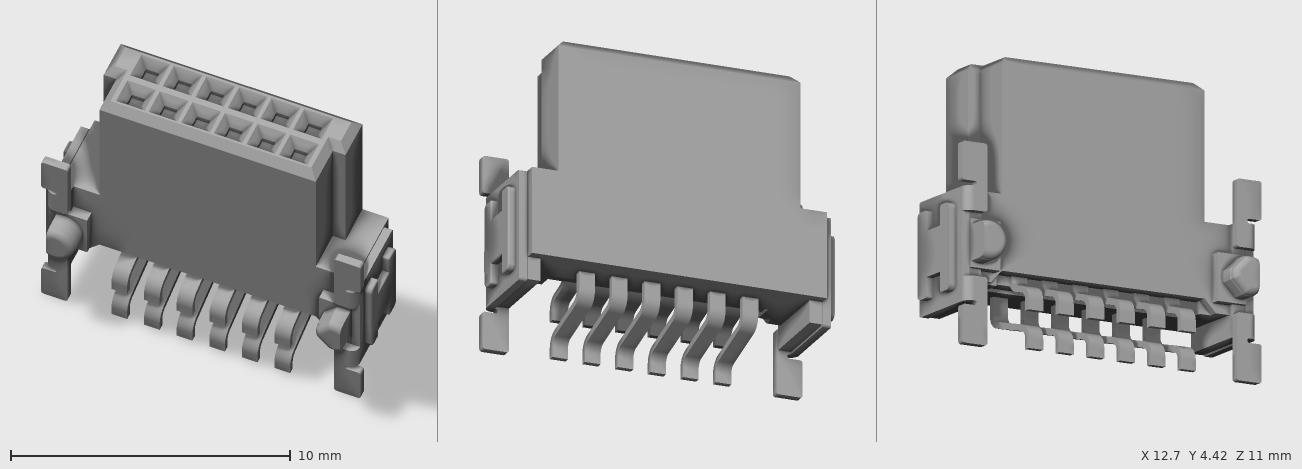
import cadquery as cq
import math


OVERLAP = 0.06

contact_count = 6
pitch = 1.27
contact_xs = [(i - (contact_count - 1) / 2) * pitch for i in range(contact_count)]

housing_depth = 3.09
base_half_width = 5.71
base_height = 3.3
tower_top = 8.43
tower_half_width = 4.7
tower_front_half_width = 4.2
tower_step_y = 1.55
tower_chamfer = 0.3
corner_block_inner_x = 5.22
corner_block_depth = 0.23
corner_block_back_y = 2.68
corner_block_bottom = -0.86

socket_mouth = (1.11, 1.03)
socket_throat = (0.52, 0.45)
socket_funnel_depth = 0.34
socket_throat_depth = 0.19
socket_row_ys = (0.9, 2.18)

recess_height = 0.48
recess_flare = 0.47
recess_flare_depth = 0.38
recess_depth = 0.66
inner_recess_height = 0.13
inner_recess_depth = 1.27

peg_x = 5.4
peg_z = 1.25
peg_radius = 0.73
peg_reach = 1.33
peg_band_start = 0.97
peg_band_end = 1.05
peg_band_inset = 0.03
peg_tip_fillet = 0.25
peg_flat_distance = 0.65
pad_inner_x = 4.51
pad_height = 1.8
pad_reach = 0.4

clip_thickness = 0.32
clip_gap = 0.03
clip_inner_x = base_half_width + clip_gap
clip_mid_z = 1.19
plate_half_height = 2.11
plate_back_y = corner_block_back_y
plate_corner_radius = 0.1
tab_back_y = -0.3
tab_half_height = 3.71
tab_inner_x = 5.18
tab_outer_x = 6.2
tab_corner_radius = 0.1
bend_half_gap = 1.2
slot_width = 0.16
slot_end_x = 5.61

boss_outer_x = 6.33
boss_back_y = 2.35
boss_front_y = 0.13
boss_half_height = 1.61
boss_notch_back_y = 1.72
boss_notch_front_y = 0.75
boss_notch_depth = 0.76
boss_outer_radius = 0.22
boss_inner_radius = 0.08
boss_edge_fillet = 0.06

tail_width = 0.61
tail_thickness = 0.24
tail_slope = 14.5
tail_front_y = -0.62
foot_height = 0.39
bend_outer_radius = 0.58
bend_inner_radius = bend_outer_radius - tail_thickness
front_foot_z = -0.97
foot_drop = 1.42
front_pin_y = 0.53
rear_pin_y = 1.86
pin_top = recess_height + OVERLAP


def box(x0, x1, y0, y1, z0, z1):
    return cq.Workplane("XY").box(x1 - x0, y1 - y0, z1 - z0, centered=False).translate((x0, y0, z0))


def mirror_x(shape):
    return shape.mirror("YZ")


def make_tower():
    outline = [
        (-tower_half_width, housing_depth),
        (-tower_half_width, tower_step_y),
        (-tower_front_half_width, tower_step_y),
        (-tower_front_half_width, 0),
        (tower_front_half_width, 0),
        (tower_front_half_width, tower_step_y),
        (tower_half_width, tower_step_y),
        (tower_half_width, housing_depth),
    ]
    tower = cq.Workplane("XY").polyline(outline).close().extrude(tower_top)
    return tower.faces(">Z").chamfer(tower_chamfer)


def make_base():
    base = box(-base_half_width, base_half_width, 0, housing_depth, 0, base_height)
    corner = box(corner_block_inner_x, base_half_width, -corner_block_depth, corner_block_back_y,
                 corner_block_bottom, base_height)
    return base.union(corner).union(mirror_x(corner))


def make_socket(x, y):
    funnel = (
        cq.Workplane("XY", origin=(x, y, tower_top))
        .rect(*socket_mouth)
        .workplane(offset=-socket_funnel_depth)
        .rect(*socket_throat)
        .loft(ruled=True)
    )
    throat = (
        cq.Workplane("XY", origin=(x, y, tower_top - socket_funnel_depth))
        .rect(*socket_throat)
        .extrude(-socket_throat_depth)
    )
    return funnel.union(throat)


def make_recess():
    half_width = tower_front_half_width
    flared = (
        cq.Workplane("XZ")
        .polyline([
            (-half_width - recess_flare, 0),
            (-half_width, recess_height),
            (half_width, recess_height),
            (half_width + recess_flare, 0),
        ])
        .close()
        .extrude(-recess_flare_depth)
    )
    straight = box(-half_width, half_width, 0, recess_depth, 0, recess_height)
    inner = box(-half_width, half_width, 0, inner_recess_depth, 0, inner_recess_height)
    return flared.union(straight).union(inner)


def wedge(plane, flat_distance):
    """Right-angled triangle pointing to -X, its two short sides at the given distance from the axis."""
    reach = flat_distance * math.sqrt(2)
    return plane.polyline([(-reach, 0), (reach, 2 * reach), (reach, -2 * reach)]).close()


def make_peg(keyed):
    """Peg on the +X side; the keyed one has two slanted flats toward the middle."""
    band_length = peg_band_end - peg_band_start
    start = cq.Workplane("XZ", origin=(peg_x, 0, peg_z))
    band = start.workplane(offset=peg_band_start)
    end = start.workplane(offset=peg_band_end)
    tip_length = peg_reach - peg_band_end
    taper = math.degrees(math.atan2(peg_band_inset, band_length))

    tip_radius = peg_radius - peg_band_inset
    peg = start.circle(peg_radius).extrude(peg_band_start)
    cone = band.circle(peg_radius).extrude(band_length, taper=taper)
    tip = end.circle(tip_radius).extrude(tip_length)
    if keyed:
        peg = peg.intersect(wedge(start, peg_flat_distance).extrude(peg_band_start))
        cone = cone.intersect(wedge(band, peg_flat_distance).extrude(band_length, taper=taper))
        tip = tip.intersect(wedge(end, peg_flat_distance - peg_band_inset).extrude(tip_length))
    tip = tip.faces("<Y").edges().fillet(peg_tip_fillet)
    peg = peg.union(cone).union(tip)

    outside = box(base_half_width, base_half_width + peg_radius, -peg_reach, 0, 0, base_height)
    pad_z = peg_z - pad_height / 2
    pad = box(pad_inner_x, base_half_width, -pad_reach, OVERLAP, pad_z, pad_z + pad_height)
    return peg.cut(outside).union(pad)


def make_upper_tab():
    """Soldering tab above mid height with the quarter-round bend that joins it to the plate."""
    slot_bottom = clip_mid_z + plate_half_height
    slot_top = slot_bottom + slot_width
    slot_radius = slot_width / 2
    bend_x = clip_inner_x
    bend_bottom = clip_mid_z + bend_half_gap
    tab_top = clip_mid_z + tab_half_height
    tab = (
        cq.Workplane("XZ", origin=(0, tab_back_y, 0))
        .moveTo(tab_inner_x, bend_bottom)
        .lineTo(tab_inner_x, tab_top)
        .lineTo(tab_outer_x, tab_top)
        .lineTo(tab_outer_x, slot_top)
        .lineTo(slot_end_x + slot_radius, slot_top)
        .threePointArc((slot_end_x, slot_bottom + slot_radius), (slot_end_x + slot_radius, slot_bottom))
        .lineTo(bend_x, slot_bottom)
        .lineTo(bend_x, bend_bottom)
        .close()
        .extrude(clip_thickness)
    )
    corners = [
        (tab_inner_x, bend_bottom),
        (tab_inner_x, tab_top),
        (tab_outer_x, tab_top),
        (tab_outer_x, slot_top),
    ]
    for x, z in corners:
        corner = cq.selectors.NearestToPointSelector((x, tab_back_y - clip_thickness / 2, z))
        tab = tab.edges("|Y").edges(corner).fillet(tab_corner_radius)
    diagonal = clip_thickness / math.sqrt(2)
    bend = (
        cq.Workplane("XY", origin=(bend_x, tab_back_y, bend_bottom))
        .lineTo(clip_thickness, 0)
        .threePointArc((diagonal, -diagonal), (0, -clip_thickness))
        .close()
        .extrude(slot_bottom - bend_bottom)
    )
    return tab.union(bend)


def make_boss():
    height = boss_outer_x - base_half_width
    outline_width = boss_back_y - boss_front_y
    mid_y = (boss_back_y + boss_front_y) / 2
    boss = (
        cq.Workplane("YZ", origin=(base_half_width, mid_y, clip_mid_z))
        .rect(outline_width, 2 * boss_half_height)
        .extrude(height)
        .edges("|X")
        .fillet(boss_outer_radius)
    )
    for side in (-1, 1):
        floor_z = clip_mid_z + side * (boss_half_height - boss_notch_depth)
        rim_z = clip_mid_z + side * boss_half_height
        notch = box(
            base_half_width, boss_outer_x,
            boss_notch_front_y, boss_notch_back_y,
            min(floor_z, rim_z), max(floor_z, rim_z),
        )
        boss = boss.cut(notch)
        for y in (boss_notch_front_y, boss_notch_back_y):
            rim = cq.selectors.NearestToPointSelector((base_half_width + height / 2, y, rim_z))
            boss = boss.edges("|X").edges(rim).fillet(boss_inner_radius)
    return boss


def make_clip(rounded_boss):
    """Clip on the +X side: side plate, H-shaped boss and two soldering tabs."""
    plate = box(
        clip_inner_x, clip_inner_x + clip_thickness,
        tab_back_y, plate_back_y,
        clip_mid_z - plate_half_height, clip_mid_z + plate_half_height,
    )
    plate = plate.edges("|X and >Y").fillet(plate_corner_radius)
    boss = make_boss()
    if rounded_boss:
        boss = boss.faces(">X").edges().fillet(boss_edge_fillet)
    upper_tab = make_upper_tab()
    lower_tab = upper_tab.mirror("XY", (0, 0, clip_mid_z))
    return plate.union(boss).union(upper_tab).union(lower_tab)


def make_tail(x, pin_y, foot_z):
    """Bent strip: upright foot, convex bend, slope, concave bend, upright pin."""
    slope = math.radians(tail_slope)
    outer = bend_outer_radius
    inner = bend_inner_radius

    def around(center, radius, angle):
        return (center[0] + radius * math.cos(angle), center[1] + radius * math.sin(angle))

    front_center = (tail_front_y + outer, foot_z + foot_height)
    convex_start = math.pi
    convex_end = math.pi / 2 + slope
    convex_mid = (convex_start + convex_end) / 2
    concave_start = slope - math.pi / 2
    concave_end = 0
    concave_mid = (concave_start + concave_end) / 2

    slope_start = around(front_center, outer, convex_end)
    rear_center_y = pin_y - inner
    slope_end_y = around((rear_center_y, 0), inner, concave_start)[0]
    slope_end_z = slope_start[1] + (slope_end_y - slope_start[0]) * math.tan(slope)
    rear_center = (rear_center_y, slope_end_z + inner * math.cos(slope))

    return (
        cq.Workplane("YZ", origin=(x - tail_width / 2, 0, 0))
        .moveTo(tail_front_y, foot_z)
        .lineTo(*around(front_center, outer, convex_start))
        .threePointArc(around(front_center, outer, convex_mid), slope_start)
        .lineTo(slope_end_y, slope_end_z)
        .threePointArc(around(rear_center, inner, concave_mid), around(rear_center, inner, concave_end))
        .lineTo(pin_y, pin_top)
        .lineTo(pin_y + tail_thickness, pin_top)
        .lineTo(*around(rear_center, outer, concave_end))
        .threePointArc(around(rear_center, outer, concave_mid), around(rear_center, outer, concave_start))
        .lineTo(*around(front_center, inner, convex_end))
        .threePointArc(around(front_center, inner, convex_mid), around(front_center, inner, convex_start))
        .lineTo(tail_front_y + tail_thickness, foot_z)
        .close()
        .extrude(tail_width)
    )


result = make_base().union(make_tower()).cut(make_recess())

for x in contact_xs:
    for y in socket_row_ys:
        result = result.cut(make_socket(x, y))
    result = result.union(make_tail(x, front_pin_y, front_foot_z))
    result = result.union(make_tail(x, rear_pin_y, front_foot_z - foot_drop))

result = result.union(make_peg(keyed=True)).union(mirror_x(make_peg(keyed=False)))
result = result.union(make_clip(rounded_boss=True)).union(mirror_x(make_clip(rounded_boss=False)))